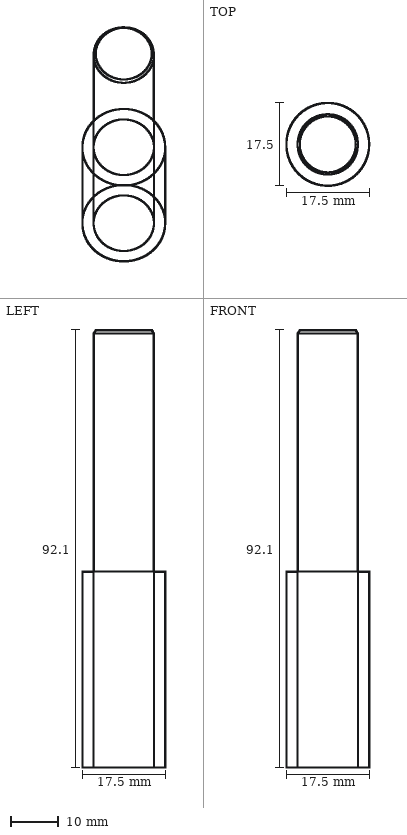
import cadquery as cq

total_length = 92.1
sleeve_length = 41.3
sleeve_diameter = 17.5
pin_diameter = 12.7
tip_chamfer_height = 0.7
tip_chamfer_width = 0.5


def make_sleeve():
    """Plain tube around the lower part of the pin."""
    return (
        cq.Workplane("XY")
        .circle(sleeve_diameter / 2)
        .circle(pin_diameter / 2)
        .extrude(sleeve_length)
    )


def make_pin():
    """Round pin through the full length of the sleeve, with a steep chamfer at its upper tip."""
    pin_radius = pin_diameter / 2
    tip_radius = pin_radius - tip_chamfer_width
    half_profile = (
        cq.Workplane("XZ")
        .lineTo(pin_radius, 0)
        .lineTo(pin_radius, total_length - tip_chamfer_height)
        .lineTo(tip_radius, total_length)
        .lineTo(0, total_length)
        .close()
    )
    return half_profile.revolve(360, (0, 0), (0, 1))


sleeve = make_sleeve()
pin = make_pin()

result = cq.Compound.makeCompound([sleeve.val(), pin.val()])